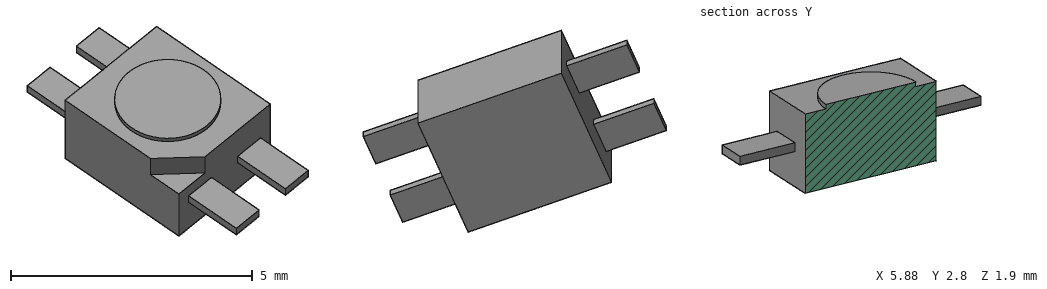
import cadquery as cq

lead_span = 5.88
body_length = 3.2
body_width = 2.8
total_height = 1.9
lens_height = 0.1
body_height = total_height - lens_height

lens_diameter = 2.2

lead_width = 0.7
lead_thickness = 0.2
lead_pitch = 1.5

notch_leg = 0.8
notch_depth = 0.5


def make_body():
    return cq.Workplane("XY").box(body_length, body_width, body_height, centered=(True, True, False))


def make_lens():
    return cq.Workplane("XY").workplane(offset=body_height).circle(lens_diameter / 2).extrude(lens_height)


def make_lead(y):
    return (
        cq.Workplane("XY")
        .box(lead_span, lead_width, lead_thickness)
        .translate((0, y, body_height / 2))
    )


def make_corner_notch():
    corner_x = body_length / 2
    corner_y = -body_width / 2
    return (
        cq.Workplane("XY")
        .workplane(offset=body_height - notch_depth)
        .moveTo(corner_x, corner_y)
        .lineTo(corner_x, corner_y + notch_leg)
        .lineTo(corner_x - notch_leg, corner_y)
        .close()
        .extrude(notch_depth)
    )


result = make_body().cut(make_corner_notch()).union(make_lens())
for side in (-1, 1):
    result = result.union(make_lead(side * lead_pitch / 2))